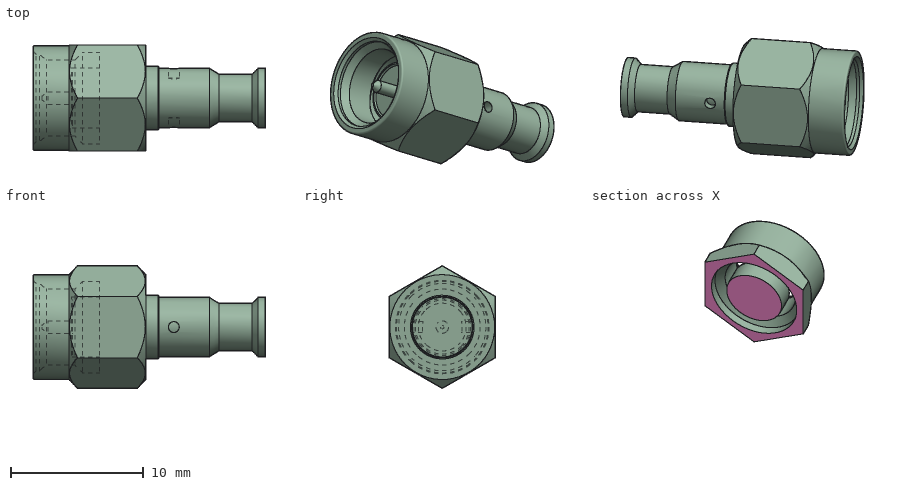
import cadquery as cq
import math

TOTAL_LENGTH = 17.5

SLEEVE_RADIUS = 3.95
LIP_ROUND = 0.13
HEX_FLATS = 8.0
HEX_CORNER_RADIUS = HEX_FLATS / math.sqrt(3)
HEX_START = 2.7
HEX_END = 8.5
HEX_CHAMFER_LENGTH = 0.65

MOUTH_RADIUS = 3.52
ENTRY_RADIUS = 3.29
ENTRY_CONE_END = 0.24
THREAD_CONE_START = 0.48
THREAD_RADIUS = 2.86
THREAD_CONE_END = 1.0
THREAD_END = 3.15
UNDERCUT_RADIUS = 3.45
UNDERCUT_CONE_END = THREAD_END + UNDERCUT_RADIUS - THREAD_RADIUS
UNDERCUT_END = 5.0

BODY_RADIUS = 2.25
BODY_START = 2.88
BODY_MOUTH_RADIUS = 2.14
DIELECTRIC_RADIUS = 2.03
DIELECTRIC_FACE = BODY_START + BODY_MOUTH_RADIUS - DIELECTRIC_RADIUS

PIN_RADIUS = 0.47
PIN_TIP_RADIUS = 0.13
PIN_START = 0.66
PIN_CONE_END = 1.13

COLLAR_RADIUS = 2.4
COLLAR_END = 9.5
COLLAR_CHAMFER = 0.09
BARREL_CONE_START = 13.27
BARREL_CONE_END = 14.0
NECK_RADIUS = 1.8
FLANGE_CONE_START = 16.5
FLANGE_START = FLANGE_CONE_START + BODY_RADIUS - NECK_RADIUS

HOLE_X = 10.6
HOLE_DIAMETER = 0.82
CORE_RADIUS = 1.5


def revolve_profile(profile):
    """Turn a closed profile of (x, radius) points about the X axis."""
    return profile.close().revolve(360, (0, 0, 0), (1, 0, 0))


def profile_from(points):
    return cq.Workplane("XY").polyline(points)


def make_sleeve():
    sleeve = cq.Workplane("YZ").circle(SLEEVE_RADIUS).extrude(HEX_END)
    return sleeve.faces("<X").edges().fillet(LIP_ROUND)


def make_hex():
    """Hexagon with corners on +Z and -Z, chamfered conically at both ends."""
    length = HEX_END - HEX_START
    prism = (
        cq.Workplane("YZ", origin=(HEX_START, 0, 0))
        .polygon(6, 2 * HEX_CORNER_RADIUS)
        .extrude(length)
        .rotate((0, 0, 0), (1, 0, 0), 90)
    )
    envelope = revolve_profile(profile_from([
        (HEX_START, 0),
        (HEX_START, SLEEVE_RADIUS),
        (HEX_START + HEX_CHAMFER_LENGTH, HEX_CORNER_RADIUS),
        (HEX_END - HEX_CHAMFER_LENGTH, HEX_CORNER_RADIUS),
        (HEX_END, SLEEVE_RADIUS),
        (HEX_END, 0),
    ]))
    return prism.intersect(envelope)


def make_socket():
    """Cavity inside the nut, widening into an undercut behind the thread bore."""
    return revolve_profile(profile_from([
        (0, 0),
        (0, MOUTH_RADIUS),
        (ENTRY_CONE_END, ENTRY_RADIUS),
        (THREAD_CONE_START, ENTRY_RADIUS),
        (THREAD_CONE_END, THREAD_RADIUS),
        (THREAD_END, THREAD_RADIUS),
        (UNDERCUT_CONE_END, UNDERCUT_RADIUS),
        (UNDERCUT_END, UNDERCUT_RADIUS),
        (UNDERCUT_END, 0),
    ]))


def make_core():
    """Center pin, contact body and rear barrel as one turned piece."""
    return revolve_profile(profile_from([
        (PIN_START, 0),
        (PIN_START, PIN_TIP_RADIUS),
        (PIN_CONE_END, PIN_RADIUS),
        (DIELECTRIC_FACE, PIN_RADIUS),
        (DIELECTRIC_FACE, DIELECTRIC_RADIUS),
        (BODY_START, BODY_MOUTH_RADIUS),
        (BODY_START, BODY_RADIUS),
        (HEX_END, BODY_RADIUS),
        (HEX_END, COLLAR_RADIUS),
        (COLLAR_END - COLLAR_CHAMFER, COLLAR_RADIUS),
        (COLLAR_END, COLLAR_RADIUS - COLLAR_CHAMFER),
        (COLLAR_END, BODY_RADIUS),
        (BARREL_CONE_START, BODY_RADIUS),
        (BARREL_CONE_END, NECK_RADIUS),
        (FLANGE_CONE_START, NECK_RADIUS),
        (FLANGE_START, BODY_RADIUS),
        (TOTAL_LENGTH, BODY_RADIUS),
        (TOTAL_LENGTH, 0),
    ]))


def make_cross_holes():
    """Cutter for the holes on -Y and +Y, with the barrel core left standing."""
    drill = (
        cq.Workplane("XZ", origin=(HOLE_X, 0, 0))
        .circle(HOLE_DIAMETER / 2)
        .extrude(BODY_RADIUS, both=True)
    )
    core = (
        cq.Workplane("YZ", origin=(HOLE_X - HOLE_DIAMETER, 0, 0))
        .circle(CORE_RADIUS)
        .extrude(2 * HOLE_DIAMETER)
    )
    return drill.cut(core)


nut = make_sleeve().union(make_hex()).cut(make_socket())
result = nut.union(make_core()).cut(make_cross_holes())